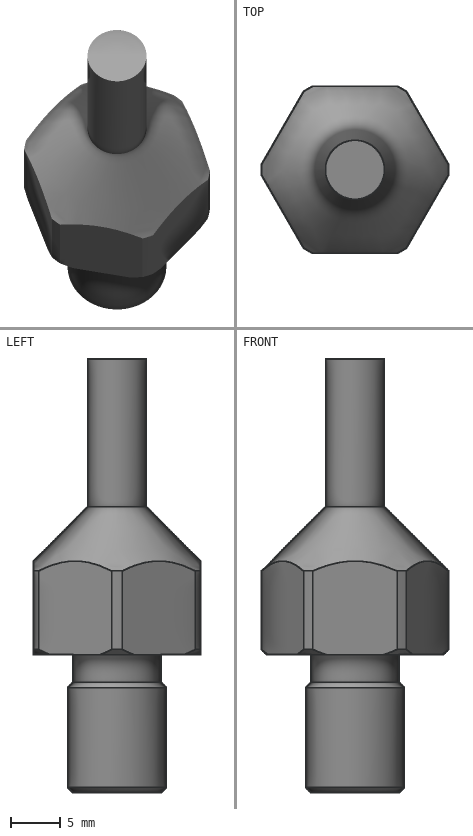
import cadquery as cq
import math

total_height = 44.0
stem_radius = 3.0
hex_across_flats = 17.0
hex_corner_radius = 9.5
hex_bottom = 14.0
cone_top = 29.0
hex_chamfer = 0.55
neck_radius = 4.5
thread_radius = 5.0
thread_top = 11.18
tip_chamfer = 0.55

cone_bottom = cone_top - (hex_corner_radius - stem_radius)
thread_shoulder = thread_top - (thread_radius - neck_radius)


def turned_body():
    """Revolved envelope: threaded end, neck, nut blank, cone and stem."""
    profile = [
        (0, 0),
        (thread_radius - tip_chamfer, 0),
        (thread_radius, tip_chamfer),
        (thread_radius, thread_shoulder),
        (neck_radius, thread_top),
        (neck_radius, hex_bottom),
        (hex_corner_radius - hex_chamfer, hex_bottom),
        (hex_corner_radius, hex_bottom + hex_chamfer),
        (hex_corner_radius, cone_bottom),
        (stem_radius, cone_top),
        (stem_radius, total_height),
        (0, total_height),
    ]
    return cq.Workplane("XZ").polyline(profile).close().revolve(360, (0, 0), (0, 1))


def hexagonal_prism():
    """Full-height hexagon with corners on the X axis and flats facing Y."""
    hex_across_corners = hex_across_flats / math.cos(math.pi / 6)
    return cq.Workplane("XY").polygon(6, hex_across_corners).extrude(total_height)


result = turned_body().intersect(hexagonal_prism())